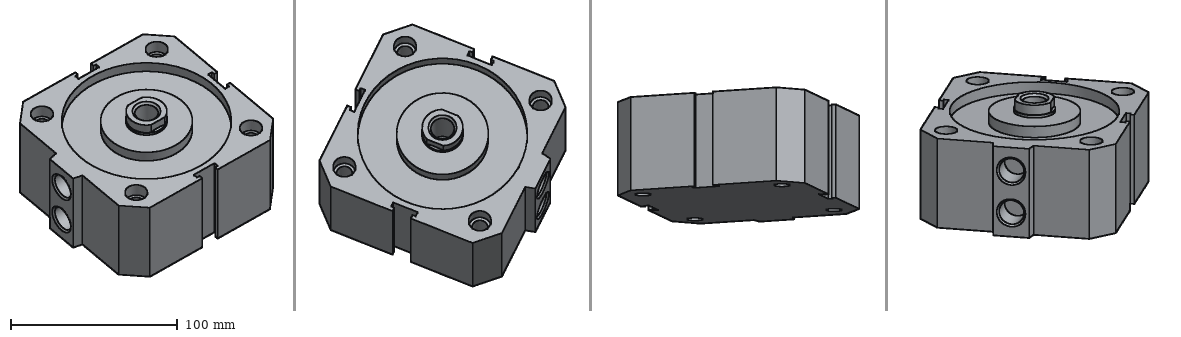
import cadquery as cq
import math

WIDTH = 120.0
HEIGHT = 57.0
CORNER_CHAMFER = 13.4

RIB_PROJECTION = 6.0
RIB_ROOT_WIDTH = 25.0
RIB_TIP_WIDTH = 22.0

SLOT_TURNS = (-90, 0, 90)
SLOT_MOUTH_WIDTH = 12.0
SLOT_INNER_WIDTH = 16.1
SLOT_LIP = 2.5
SLOT_DEPTH = 5.5

RECESS_DIAMETER = 101.8
RECESS_DEPTH = 7.0
BOSS_DIAMETER = 55.0

MOUNT_SPACING = 89.1
MOUNT_DIAMETER = 9.5
MOUNT_BORE_DIAMETER = 13.5
MOUNT_BORE_DEPTH = 8.5

PORT_DIAMETER = 15.2
PORT_MOUTH_DIAMETER = 17.6
PORT_CHAMFER = (PORT_MOUTH_DIAMETER - PORT_DIAMETER) / 2
PORT_DEPTH = 16.4
PORT_HEIGHTS = (15.2, 41.8)

TOTAL_HEIGHT = 65.0
ROD_DIAMETER = 25.0
ROD_EMBEDMENT = 30.0
COLLAR_HEIGHT = 1.6
SHOULDER_RISE = 0.9
HEAD_DIAMETER = 24.5
FLAT_WIDTH = 22.0
ROD_HOLE_DIAMETER = 14.0
ROD_HOLE_MOUTH_DIAMETER = 16.9
ROD_HOLE_DEPTH = 25.2
DRILL_POINT_ANGLE = 118.0

ROD_BASE = HEIGHT - ROD_EMBEDMENT
COLLAR_TOP = HEIGHT + COLLAR_HEIGHT


def t_slot(turn):
    """T-slot cutter in the +Y face, turned about Z onto another face."""
    face = WIDTH / 2
    mouth = (
        cq.Workplane("XY")
        .rect(SLOT_MOUTH_WIDTH, 2 * SLOT_DEPTH)
        .extrude(HEIGHT)
        .translate((0, face, 0))
    )
    inner_depth = SLOT_DEPTH - SLOT_LIP
    inner = (
        cq.Workplane("XY")
        .rect(SLOT_INNER_WIDTH, inner_depth)
        .extrude(HEIGHT)
        .translate((0, face - SLOT_LIP - inner_depth / 2, 0))
    )
    return mouth.union(inner).rotate((0, 0, 0), (0, 0, 1), turn)


def port_rib():
    """Tapered rib that carries the ports."""
    face = -WIDTH / 2
    return (
        cq.Workplane("XY")
        .polyline([
            (-RIB_ROOT_WIDTH / 2, face),
            (-RIB_TIP_WIDTH / 2, face - RIB_PROJECTION),
            (RIB_TIP_WIDTH / 2, face - RIB_PROJECTION),
            (RIB_ROOT_WIDTH / 2, face),
        ])
        .close()
        .extrude(HEIGHT)
    )


def port(height):
    """Cutter for a blind port with a chamfered mouth, bored along +Y."""
    profile = [
        (0, 0),
        (PORT_MOUTH_DIAMETER / 2, 0),
        (PORT_DIAMETER / 2, PORT_CHAMFER),
        (PORT_DIAMETER / 2, PORT_DEPTH),
        (0, PORT_DEPTH),
    ]
    return (
        cq.Workplane("XY")
        .polyline(profile)
        .close()
        .revolve(360, (0, 0), (0, 1))
        .translate((0, -WIDTH / 2 - RIB_PROJECTION, height))
    )


def mounting_hole(x, y):
    """Cutter for a through hole counterbored from the top."""
    hole = cq.Workplane("XY").circle(MOUNT_DIAMETER / 2).extrude(HEIGHT)
    counterbore = (
        cq.Workplane("XY", origin=(0, 0, HEIGHT - MOUNT_BORE_DEPTH))
        .circle(MOUNT_BORE_DIAMETER / 2)
        .extrude(MOUNT_BORE_DEPTH)
    )
    return hole.union(counterbore).translate((x, y, 0))


def top_recess():
    """Ring-shaped cutter that leaves the central boss flush with the top face."""
    return (
        cq.Workplane("XY", origin=(0, 0, HEIGHT - RECESS_DEPTH))
        .circle(RECESS_DIAMETER / 2)
        .circle(BOSS_DIAMETER / 2)
        .extrude(RECESS_DEPTH)
    )


def rod_bore():
    """Cutter for the blind bore that holds the rod shank."""
    return cq.Workplane("XY", origin=(0, 0, ROD_BASE)).circle(ROD_DIAMETER / 2).extrude(ROD_EMBEDMENT)


def make_housing():
    block = cq.Workplane("XY").rect(WIDTH, WIDTH).extrude(HEIGHT).edges("|Z").chamfer(CORNER_CHAMFER)
    housing = block.union(port_rib()).cut(top_recess()).cut(rod_bore())
    for turn in SLOT_TURNS:
        housing = housing.cut(t_slot(turn))
    for height in PORT_HEIGHTS:
        housing = housing.cut(port(height))
    offset = MOUNT_SPACING / 2
    for x in (-offset, offset):
        for y in (-offset, offset):
            housing = housing.cut(mounting_hole(x, y))
    return housing


def rod_shank():
    """Shank and collar, closed by a cone that rises from the collar edge to the width of the flats."""
    return (
        cq.Workplane("XZ")
        .polyline([
            (0, ROD_BASE),
            (ROD_DIAMETER / 2, ROD_BASE),
            (ROD_DIAMETER / 2, COLLAR_TOP),
            (FLAT_WIDTH / 2, COLLAR_TOP + SHOULDER_RISE),
            (0, COLLAR_TOP + SHOULDER_RISE),
        ])
        .close()
        .revolve(360, (0, 0), (0, 1))
    )


def rod_head():
    """Round head with flats facing -X and +X."""
    head_length = TOTAL_HEIGHT - COLLAR_TOP
    base = cq.Workplane("XY", origin=(0, 0, COLLAR_TOP))
    flats = base.rect(FLAT_WIDTH, HEAD_DIAMETER).extrude(head_length)
    return base.circle(HEAD_DIAMETER / 2).extrude(head_length).intersect(flats)


def rod_hole():
    """Cutter for the drilled hole in the rod end, with a chamfered mouth and a drill point."""
    radius = ROD_HOLE_DIAMETER / 2
    mouth_radius = ROD_HOLE_MOUTH_DIAMETER / 2
    point_depth = radius / math.tan(math.radians(DRILL_POINT_ANGLE / 2))
    return (
        cq.Workplane("XZ")
        .polyline([
            (0, 0),
            (mouth_radius, 0),
            (radius, radius - mouth_radius),
            (radius, -ROD_HOLE_DEPTH),
            (0, -ROD_HOLE_DEPTH - point_depth),
        ])
        .close()
        .revolve(360, (0, 0), (0, 1))
        .translate((0, 0, TOTAL_HEIGHT))
    )


def make_rod():
    return rod_shank().union(rod_head()).cut(rod_hole())


housing = make_housing()
rod = make_rod()
result = cq.Compound.makeCompound([housing.val(), rod.val()])